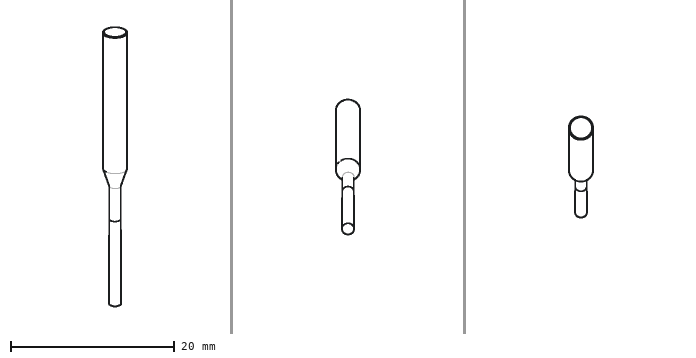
import cadquery as cq
import math

overall_length = 37.5

shank_diameter = 3.0
shank_length = 18.57
end_chamfer_width = 0.15
end_chamfer_height = 0.1

neck_diameter = 1.466
taper_length = 2.4

cutting_diameter = 1.5
cutting_length = 12.0
point_angle = 118.0

shank_radius = shank_diameter / 2
neck_radius = neck_diameter / 2
cutting_radius = cutting_diameter / 2
point_height = cutting_radius / math.tan(math.radians(point_angle / 2))
shank_bottom = overall_length - shank_length
taper_bottom = shank_bottom - taper_length


def revolve_about_z(profile):
    """Turn a closed (radius, height) profile into a round solid about the Z axis."""
    return cq.Workplane("XZ").polyline(profile).close().revolve(360, (0, 0, 0), (0, 1, 0))


def make_holder():
    """Shank with a chamfered end, a tapered shoulder and a slim neck."""
    return revolve_about_z([
        (0, cutting_length),
        (neck_radius, cutting_length),
        (neck_radius, taper_bottom),
        (shank_radius, shank_bottom),
        (shank_radius, overall_length - end_chamfer_height),
        (shank_radius - end_chamfer_width, overall_length),
        (0, overall_length),
    ])


def make_cutting_part():
    """Slightly back-tapered rod with a conical drill point, seated flat against the neck."""
    return revolve_about_z([
        (0, 0),
        (cutting_radius, point_height),
        (neck_radius, cutting_length),
        (0, cutting_length),
    ])


holder = make_holder()
cutting_part = make_cutting_part()

result = cq.Compound.makeCompound([holder.val(), cutting_part.val()])